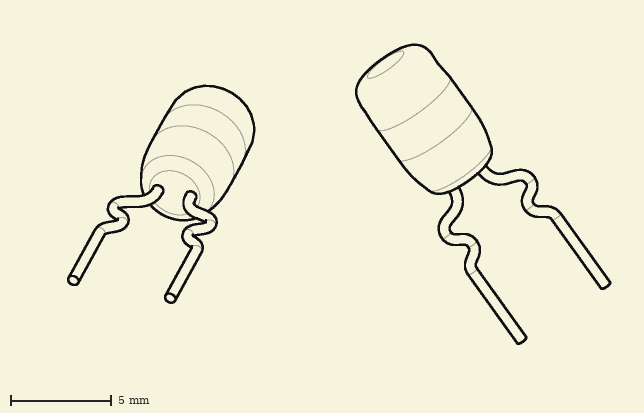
import cadquery as cq

total_length = 15.76
body_length = 7.0
lead_length = total_length - body_length

body_radius = 2.25
lead_face_radius = 1.32
shoulder_radius = 1.92
shoulder_y = 0.47
lower_barrel_radius = 2.11
lower_barrel_y = 1.12
band_start_y = 2.66
band_end_y = 4.57
upper_barrel_radius = 2.22
upper_barrel_y = 5.67
crown_side_radius = 2.17
crown_side_y = 6.3
crown_corner_radius = 1.92
crown_corner_y = 6.78
crown_flat_radius = 1.1

wire_diameter = 0.55
lead_span = 5.63
lead_tip_x = (lead_span - wire_diameter) / 2
lead_root_x = 0.87
inner_bend_x = 1.72
root_end_y = -0.1
first_run_x = 1.47
first_run_y = -1.26
outer_bend_y = -2.08
inner_bend_y = -3.18
straight_start_y = -4.38
wire_embed = 0.32


def make_body():
    """Revolve the barrel profile around the Y axis."""
    rounding_width = shoulder_radius - lead_face_radius
    rounding_radius = (rounding_width**2 + shoulder_y**2) / (2 * shoulder_y)
    shoulder_tangent = (rounding_radius - shoulder_y, rounding_width)
    along_axis = (0, 1)
    toward_axis = (-1, 0)
    profile = (
        cq.Workplane("XY")
        .lineTo(lead_face_radius, 0)
        .tangentArcPoint((shoulder_radius, shoulder_y), relative=False)
        .spline(
            [(lower_barrel_radius, lower_barrel_y), (body_radius, band_start_y)],
            tangents=[shoulder_tangent, along_axis],
            includeCurrent=True,
        )
        .lineTo(body_radius, band_end_y)
        .spline(
            [
                (upper_barrel_radius, upper_barrel_y),
                (crown_side_radius, crown_side_y),
                (crown_corner_radius, crown_corner_y),
                (crown_flat_radius, body_length),
            ],
            tangents=[along_axis, toward_axis],
            includeCurrent=True,
        )
        .lineTo(0, body_length)
        .close()
    )
    return profile.revolve(360, (0, 0), (0, 1))


def make_lead(side):
    """Sweep one kinked wire; side is -1 for the -X lead and +1 for the +X lead."""
    down = (0, -1)
    stretches = [
        [(side * first_run_x, first_run_y), (side * lead_tip_x, outer_bend_y)],
        [(side * inner_bend_x, inner_bend_y)],
        [(side * lead_tip_x, straight_start_y)],
    ]
    path = (
        cq.Workplane("XY")
        .moveTo(side * lead_root_x, wire_embed)
        .lineTo(side * lead_root_x, root_end_y)
    )
    for points in stretches:
        path = path.spline(points, tangents=[down, down], includeCurrent=True)
    path = path.lineTo(side * lead_tip_x, -lead_length)
    section = cq.Workplane("XZ", origin=(side * lead_root_x, wire_embed, 0)).circle(wire_diameter / 2)
    return section.sweep(path)


result = make_body()
for lead_side in (-1, 1):
    result = result.union(make_lead(lead_side))